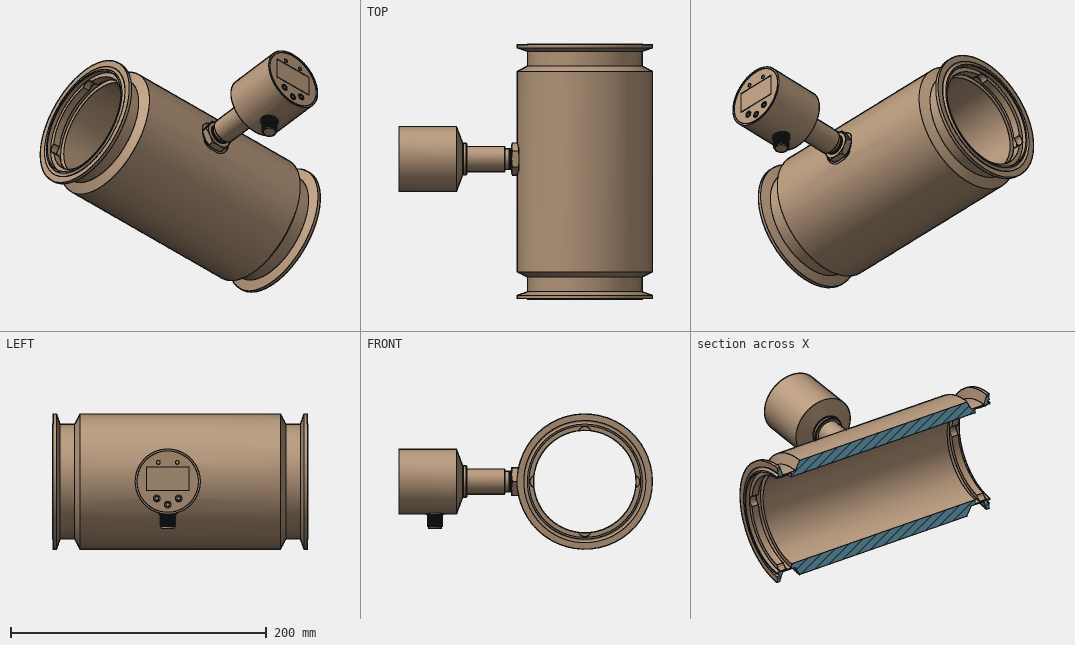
import cadquery as cq
import math

TUBE_LENGTH = 200.0
TUBE_DIA = 106.0
NECK_DIA = 90.0
BORE_DIA = 80.0
RIM_THICKNESS = 2.5
FLANGE_THICKNESS = 5.5
NECK_LENGTH = 11.5
SHOULDER_LENGTH = 4.2
PILOT_DIA = 90.0
PILOT_HEIGHT = 0.5
GASKET_GROOVE_DIA = 92.8
GASKET_GROOVE_WIDTH = 2.8
FLANGE_FACE_Y = TUBE_LENGTH / 2 - PILOT_HEIGHT

SEAT_DIA = 87.5
RING_RECESS = 3.5
RING_THICKNESS = 6.0
RELIEF_LENGTH = 4.5
RING_INNER_DIA = 80.5
NOTCH_DIA = 10.0
NOTCH_TIP_DIA = 86.0
NOTCH_COUNT = 4

SENSOR_Y = 9.8
SPOTFACE_X = -51.5
SPOTFACE_DIA = 27.2
HOUSING_FACE_X = -145.5
HOUSING_DIA = 51.0
SEAM_X = -103.2
CONE_START_X = -100.5
CONE_END_X = -95.5
CONE_END_DIA = 25.5
COLLAR_END_X = -92.2
COLLAR_DIA = 24.8
COLLAR_CHAMFER = 0.5
ROD_DIA = 20.0
ROD_END_X = -62.5
ROD_CHAMFER = 0.5
STUB_DIA = 16.5
STUB_THREAD_X = -59.2

HEX_ACROSS_FLATS = 22.0
HEX_FACE_X = -57.2
HEX_CORNER_CHAMFER = 0.5

FACE_DIA = 48.0
FACE_RECESS = 0.2
FACE_THICKNESS = 2.0
MARK_DEPTH = 0.2
WINDOW_WIDTH = 33.2
WINDOW_HEIGHT = 18.5
WINDOW_Z = 2.5
LAMP_DIA = 3.0
LAMP_SPACING = 14.8
LAMP_Z = 15.0
BUTTON_DIA = 5.2
BUTTON_INNER_DIA = 3.0
BUTTON_SPACING = 17.2
OUTER_BUTTON_Z = -13.2
MIDDLE_BUTTON_Z = -18.0

CONNECTOR_X = -117.2
CONNECTOR_DIA = 12.0
CONNECTOR_TIP_DIA = 10.0
CONNECTOR_COLLAR_DIA = 14.0
CONNECTOR_TOP_Z = -23.0
COLLAR_BOTTOM_Z = -25.5
CONNECTOR_THREAD_END_Z = -35.2
CONNECTOR_END_Z = -36.5

THREAD_PITCH = 1.0
THREAD_DEPTH = 0.5


def thread_points(start, end, radius):
    """Points (axial, radius) of ring-shaped thread teeth between two stations."""
    tooth_count = round(abs(end - start) / THREAD_PITCH)
    pitch = (end - start) / tooth_count
    points = []
    for tooth in range(tooth_count):
        root = start + tooth * pitch
        points.append((root, radius - THREAD_DEPTH))
        points.append((root + pitch / 2, radius))
    points.append((end, radius - THREAD_DEPTH))
    return points


def turned_on_x(points):
    """Solid of revolution about the sensor axis from (x, radius) points."""
    return (
        cq.Workplane("XY")
        .polyline(points)
        .close()
        .revolve(360, (0, 0, 0), (1, 0, 0), clean=False)
        .translate((0, SENSOR_Y, 0))
    )


def rod_on_x(start_x, end_x, diameter):
    """Cylinder on the sensor axis."""
    return (
        cq.Workplane("YZ", origin=(start_x, SENSOR_Y, 0))
        .circle(diameter / 2)
        .extrude(end_x - start_x)
    )


def rod_on_y(start_y, end_y, diameter):
    """Cylinder on the tube axis."""
    return cq.Workplane("XZ", origin=(0, start_y, 0)).circle(diameter / 2).extrude(start_y - end_y)


def gasket_groove(side):
    """Torus that leaves a half-round groove in one flange face."""
    return (
        cq.Workplane("XY", origin=(0, side * FLANGE_FACE_Y, 0))
        .center(GASKET_GROOVE_DIA / 2, 0)
        .circle(GASKET_GROOVE_WIDTH / 2)
        .revolve(360, (-GASKET_GROOVE_DIA / 2, 0, 0), (-GASKET_GROOVE_DIA / 2, 1, 0))
    )


def make_tube():
    end = TUBE_LENGTH / 2
    neck_outer = FLANGE_FACE_Y - FLANGE_THICKNESS
    neck_inner = neck_outer - NECK_LENGTH
    shoulder = end - RING_RECESS - RING_THICKNESS - RELIEF_LENGTH
    half_outline = [
        (PILOT_DIA / 2, end),
        (PILOT_DIA / 2, FLANGE_FACE_Y),
        (TUBE_DIA / 2, FLANGE_FACE_Y),
        (TUBE_DIA / 2, FLANGE_FACE_Y - RIM_THICKNESS),
        (NECK_DIA / 2, neck_outer),
        (NECK_DIA / 2, neck_inner),
        (TUBE_DIA / 2, neck_inner - SHOULDER_LENGTH),
    ]
    other_half = [(radius, -y) for radius, y in reversed(half_outline)]
    tube = (
        cq.Workplane("XY")
        .polyline([(0, end), *half_outline, *other_half, (0, -end)])
        .close()
        .revolve(360, (0, 0, 0), (0, 1, 0))
        .cut(rod_on_y(-end, end, BORE_DIA))
        .cut(rod_on_x(-TUBE_DIA / 2, SPOTFACE_X, SPOTFACE_DIA))
    )
    for side in (-1, 1):
        tube = tube.cut(rod_on_y(side * end, side * shoulder, SEAT_DIA))
        tube = tube.cut(gasket_groove(side))
    return tube


def make_retaining_ring(side):
    """Notched ring in one end of the tube; side is -1 or +1 along Y."""
    front = side * (TUBE_LENGTH / 2 - RING_RECESS)
    back = front - side * RING_THICKNESS
    notch_place = (NOTCH_TIP_DIA - NOTCH_DIA) / 2
    notches = (
        cq.Workplane("XZ", origin=(0, front, 0))
        .polarArray(notch_place, 0, 360, NOTCH_COUNT)
        .circle(NOTCH_DIA / 2)
        .extrude(front - back)
    )
    return rod_on_y(front, back, SEAT_DIA).cut(rod_on_y(front, back, RING_INNER_DIA)).cut(notches)


def stub_points():
    return thread_points(STUB_THREAD_X, HEX_FACE_X, STUB_DIA / 2)


def make_sensor():
    housing_r = HOUSING_DIA / 2
    collar_r = COLLAR_DIA / 2
    rod_r = ROD_DIA / 2
    stub_r = STUB_DIA / 2
    face_back_x = HOUSING_FACE_X + FACE_RECESS + FACE_THICKNESS
    outline = [
        (face_back_x, 0),
        (face_back_x, FACE_DIA / 2),
        (HOUSING_FACE_X, FACE_DIA / 2),
        (HOUSING_FACE_X, housing_r),
        (SEAM_X, housing_r),
        (CONE_START_X, housing_r),
        (CONE_END_X, CONE_END_DIA / 2),
        (CONE_END_X, collar_r - COLLAR_CHAMFER),
        (CONE_END_X + COLLAR_CHAMFER, collar_r),
        (COLLAR_END_X - COLLAR_CHAMFER, collar_r),
        (COLLAR_END_X, collar_r - COLLAR_CHAMFER),
        (COLLAR_END_X, rod_r),
        (ROD_END_X - ROD_CHAMFER, rod_r),
        (ROD_END_X, rod_r - ROD_CHAMFER),
        (ROD_END_X, stub_r),
        (STUB_THREAD_X, stub_r),
        *stub_points(),
        (SPOTFACE_X, stub_r - THREAD_DEPTH),
        (SPOTFACE_X, 0),
    ]
    sensor = turned_on_x(outline)
    pocket = (
        cq.Workplane("XY", origin=(CONNECTOR_X, SENSOR_Y, CONNECTOR_TOP_Z))
        .circle(CONNECTOR_COLLAR_DIA / 2)
        .extrude(-HOUSING_DIA / 2)
    )
    return sensor.cut(pocket, clean=False)


def make_bushing():
    """Hexagon on the spotface, corners at +Y and -Y, corner-chamfered at both ends."""
    corner_dia = HEX_ACROSS_FLATS / math.cos(math.pi / 6)
    corner_r = corner_dia / 2
    hexagon = (
        cq.Workplane("YZ", origin=(HEX_FACE_X, SENSOR_Y, 0))
        .polygon(6, corner_dia)
        .extrude(SPOTFACE_X - HEX_FACE_X)
    )
    chamfer_envelope = turned_on_x([
        (HEX_FACE_X, 0),
        (HEX_FACE_X, HEX_ACROSS_FLATS / 2),
        (HEX_FACE_X + HEX_CORNER_CHAMFER, corner_r),
        (SPOTFACE_X - HEX_CORNER_CHAMFER, corner_r),
        (SPOTFACE_X, HEX_ACROSS_FLATS / 2),
        (SPOTFACE_X, 0),
    ])
    bore = rod_on_x(HEX_FACE_X, SPOTFACE_X, STUB_DIA - 2 * THREAD_DEPTH)
    return hexagon.intersect(chamfer_envelope).cut(bore)


def make_face():
    front_x = HOUSING_FACE_X + FACE_RECESS
    face = rod_on_x(front_x, front_x + FACE_THICKNESS, FACE_DIA)
    front = cq.Workplane("YZ", origin=(front_x, SENSOR_Y, 0))

    window = front.center(0, WINDOW_Z).rect(WINDOW_WIDTH, WINDOW_HEIGHT).extrude(MARK_DEPTH)
    lamp_places = [(side * LAMP_SPACING / 2, LAMP_Z) for side in (-1, 1)]
    lamps = front.pushPoints(lamp_places).circle(LAMP_DIA / 2).extrude(MARK_DEPTH)
    button_places = [(side * BUTTON_SPACING / 2, OUTER_BUTTON_Z) for side in (-1, 1)]
    button_places.append((0, MIDDLE_BUTTON_Z))
    button_rings = (
        front.pushPoints(button_places)
        .circle(BUTTON_DIA / 2)
        .circle(BUTTON_INNER_DIA / 2)
        .extrude(MARK_DEPTH)
    )
    return face.cut(window).cut(lamps).cut(button_rings)


def make_connector():
    thread = thread_points(COLLAR_BOTTOM_Z, CONNECTOR_THREAD_END_Z, CONNECTOR_DIA / 2)
    outline = [
        (0, CONNECTOR_TOP_Z),
        (CONNECTOR_COLLAR_DIA / 2, CONNECTOR_TOP_Z),
        (CONNECTOR_COLLAR_DIA / 2, COLLAR_BOTTOM_Z),
        *[(radius, z) for z, radius in thread],
        (CONNECTOR_TIP_DIA / 2, CONNECTOR_THREAD_END_Z),
        (CONNECTOR_TIP_DIA / 2, CONNECTOR_END_Z),
        (0, CONNECTOR_END_Z),
    ]
    return (
        cq.Workplane("XZ")
        .polyline(outline)
        .close()
        .revolve(360, (0, 0, 0), (0, 1, 0))
        .translate((CONNECTOR_X, SENSOR_Y, 0))
    )


tube = make_tube()
retaining_rings = [make_retaining_ring(side) for side in (-1, 1)]
sensor = make_sensor()
bushing = make_bushing()
face = make_face()
connector = make_connector()

result = cq.Compound.makeCompound([
    tube.val(),
    *[ring.val() for ring in retaining_rings],
    sensor.val(),
    bushing.val(),
    face.val(),
    connector.val(),
])